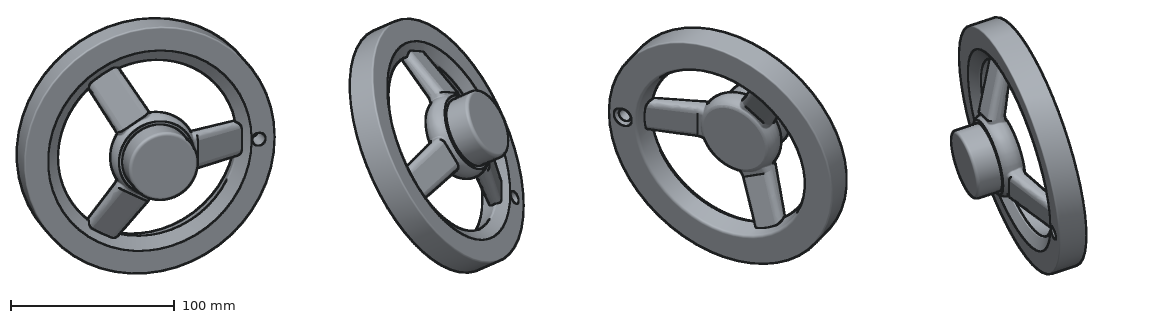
import cadquery as cq
import math

rim_radius = 80.0
rim_width = 18.0
rim_edge_fillet = 1.0
bore_front_radius = 59.8
bore_front_fillet = 2.0
bore_lip_x = 13.5
bore_lip_radius = 56.9
bore_lip_fillet = 1.2
dish_radius = 65.0

hub_front_x = 16.8
hub_back_x = 32.0
hub_bulge_x = 24.8
hub_bulge_radius = 10.0
hub_max_radius = 27.1
hub_front_fillet = 2.7
boss_radius = 22.0
boss_end_x = 48.0
boss_edge_fillet = 2.0

spoke_count = 3
spoke_root_radius = 15.0
spoke_bend_radius = 27.1
spoke_bend_back_x = 29.5
spoke_bend_thickness = 11.4
spoke_bend_width = 23.5
spoke_bend_fillet = 4.3
spoke_root_fillet = 1.0
spoke_tip_radius = 62.0
spoke_tip_back_x = 14.1
spoke_tip_thickness = 8.4
spoke_tip_width = 22.3
spoke_tip_fillet = 4.0

handle_hole_diameter = 8.4
handle_countersink_diameter = 12.8
handle_countersink_angle = 90.0
handle_hole_radius = 69.6


def revolve_about_x(profile):
    """Turn an (X, radius) outline drawn in the XY plane around the X axis."""
    return profile.close().revolve(360, (0, 0, 0), (1, 0, 0))


def make_rim():
    rim = revolve_about_x(
        cq.Workplane("XY")
        .moveTo(0, bore_front_radius)
        .lineTo(0, rim_radius)
        .lineTo(rim_width, rim_radius)
        .lineTo(rim_width, dish_radius)
        .lineTo(bore_lip_x, bore_lip_radius)
    )
    outer_edges = cq.selectors.RadiusNthSelector(-1)
    inner_edge = cq.selectors.RadiusNthSelector(0)
    rim = rim.edges(inner_edge).fillet(bore_lip_fillet)
    rim = rim.edges(outer_edges).fillet(rim_edge_fillet)
    return rim.faces("<X").edges(inner_edge).fillet(bore_front_fillet)


def bulge_radius_at(x):
    """Hub radius at a position along X, on the bulged arc."""
    arc_height = math.sqrt(hub_bulge_radius**2 - (x - hub_bulge_x) ** 2)
    return hub_max_radius - hub_bulge_radius + arc_height


def make_hub():
    hub = revolve_about_x(
        cq.Workplane("XY")
        .moveTo(hub_front_x, 0)
        .lineTo(hub_front_x, bulge_radius_at(hub_front_x))
        .threePointArc(
            (hub_bulge_x, hub_max_radius),
            (hub_back_x, bulge_radius_at(hub_back_x)),
        )
        .lineTo(hub_back_x, boss_radius)
        .lineTo(boss_end_x, boss_radius)
        .lineTo(boss_end_x, 0)
    )
    hub = hub.faces("<X").edges().fillet(hub_front_fillet)
    return hub.faces(">X").edges().fillet(boss_edge_fillet)


def spoke_section(back_x, thickness, width, corner_fillet, radius):
    """Rounded rectangle across the spoke at a radius, placed by its back side."""
    section = cq.Sketch().rect(thickness, width).vertices().fillet(corner_fillet)
    return section.moved(cq.Location(cq.Vector(back_x - thickness / 2, 0, radius)))


def make_spoke():
    """One spoke, pointing along +Y from inside the hub to inside the rim."""
    across_spoke = cq.Plane(origin=(0, 0, 0), xDir=(1, 0, 0), normal=(0, 1, 0))
    bend_size = (spoke_bend_back_x, spoke_bend_thickness, spoke_bend_width, spoke_bend_fillet)
    tip_size = (spoke_tip_back_x, spoke_tip_thickness, spoke_tip_width, spoke_tip_fillet)
    root_section = spoke_section(*bend_size, spoke_root_radius)
    bend_section = spoke_section(*bend_size, spoke_bend_radius)
    tip_section = spoke_section(*tip_size, spoke_tip_radius)
    root_length = spoke_bend_radius - spoke_root_radius
    root = cq.Workplane(across_spoke).placeSketch(root_section).extrude(root_length)
    leaning_bar = cq.Workplane(across_spoke).placeSketch(bend_section, tip_section).loft()
    return root.union(leaning_bar)


def cut_handle_hole(body):
    return (
        body.faces("<X")
        .workplane(origin=(0, handle_hole_radius, 0))
        .cskHole(handle_hole_diameter, handle_countersink_diameter, handle_countersink_angle)
    )


def make_spoked_hub():
    """Hub with evenly spaced spokes, blended where each spoke enters the hub."""
    body = make_hub()
    spoke = make_spoke()
    for index in range(spoke_count):
        body = body.union(spoke.rotate((0, 0, 0), (1, 0, 0), index * 360 / spoke_count))
    hub_faces = body.faces(cq.selectors.TypeSelector("TORUS"))
    root_edges = hub_faces.edges("%BSPLINE")
    return root_edges.fillet(spoke_root_fillet)


result = cut_handle_hole(make_rim().union(make_spoked_hub()))